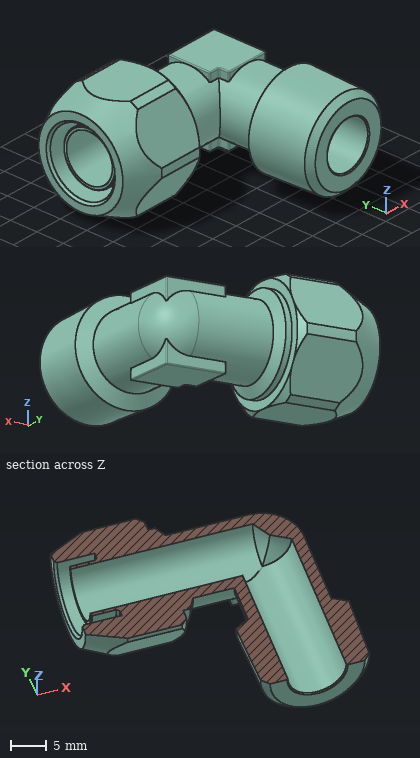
import cadquery as cq
import math

TUBE_LEG = cq.Plane(origin=(0, 0, 0), xDir=(-1, 0, 0), normal=(0, 0, 1))
THREAD_LEG = cq.Plane(origin=(0, 0, 0), xDir=(0, -1, 0), normal=(0, 0, 1))

body_radius = 6.25
bore_radius = 4.35
drill_point_angle = 118

pad_height = 6.5
pad_outer = 4.0
pad_inner = 5.88
pad_notch = 3.97
pad_edge_round = 0.2

thread_leg_length = 24.98
thread_length = 11.4
thread_large_radius = 8.45
thread_taper = 1 / 16
thread_chamfer = 1.1
thread_shoulder = 1.27
thread_mouth_chamfer = 0.2

tube_leg_length = 29.0
nut_length = 14.6
nut_sides = 6
nut_across_flats = 19.0
nut_corner_radius = 10.52
nut_face_radius = 7.98
nut_front_cone = 5.45
nut_back_chamfer = 1.0

collar_radius = 8.0
collar_width = 1.0
collar_cone = 1.0

tube_radius = 6.1
mouth_chamfer = 0.4
floor_depth = 6.0

spigot_depth = 1.87
spigot_radius = 4.95
spigot_tip_chamfer = 0.15
spigot_root_radius = 5.3


def turned(leg, profile):
    """Revolve an outline of (distance along the leg, radius) points about the leg axis."""
    return cq.Workplane(leg).polyline(profile).close().revolve(360, (0, 0, 0), (1, 0, 0))


def elbow_body():
    """Two round legs meeting in a spherical outer corner."""
    nut_back = tube_leg_length - nut_length
    thread_start = thread_leg_length - thread_length
    tube_arm = cq.Workplane(TUBE_LEG.rotated((0, 90, 0))).circle(body_radius).extrude(nut_back)
    thread_arm = cq.Workplane(THREAD_LEG.rotated((0, 90, 0))).circle(body_radius).extrude(thread_start)
    return tube_arm.union(thread_arm).union(cq.Workplane("XY").sphere(body_radius))


def wrench_pads():
    """Notched square block whose top and bottom stand proud of the round legs."""
    block = (
        cq.Workplane("XY", origin=(0, 0, -pad_height))
        .moveTo(pad_outer, pad_outer)
        .lineTo(-pad_inner, pad_outer)
        .lineTo(-pad_inner, -pad_notch)
        .lineTo(-pad_notch, -pad_notch)
        .lineTo(-pad_notch, -pad_inner)
        .lineTo(pad_outer, -pad_inner)
        .close()
        .extrude(2 * pad_height)
    )
    block = block.edges("|Z").fillet(pad_edge_round)
    return block.faces("|Z").edges().fillet(pad_edge_round)


def thread_end():
    """Tapered thread blank with a conical shoulder and a chamfered tip."""
    start = thread_leg_length - thread_length
    chamfer_start = thread_leg_length - thread_chamfer
    small_radius = thread_large_radius - (chamfer_start - start) * thread_taper / 2
    return turned(THREAD_LEG, [
        (start - thread_shoulder, 0),
        (start - thread_shoulder, body_radius),
        (start, thread_large_radius),
        (chamfer_start, small_radius),
        (thread_leg_length, small_radius - thread_chamfer),
        (thread_leg_length, 0),
    ])


def collar():
    """Round collar behind the nut, coned down to the leg."""
    front = tube_leg_length - nut_length
    cone_start = front - collar_width
    return turned(TUBE_LEG, [
        (cone_start - collar_cone, 0),
        (cone_start - collar_cone, body_radius),
        (cone_start, collar_radius),
        (front, collar_radius),
        (front, 0),
    ])


def nut():
    """Hexagon with flats facing up and down, trimmed by a turned envelope."""
    back = tube_leg_length - nut_length
    across_corners = nut_across_flats / math.cos(math.pi / nut_sides)
    hexagon = (
        cq.Workplane("YZ", origin=(-tube_leg_length, 0, 0))
        .polygon(nut_sides, across_corners)
        .extrude(nut_length)
    )
    envelope = turned(TUBE_LEG, [
        (back, 0),
        (back, nut_corner_radius - nut_back_chamfer),
        (back + nut_back_chamfer, nut_corner_radius),
        (tube_leg_length - nut_front_cone, nut_corner_radius),
        (tube_leg_length, nut_face_radius),
        (tube_leg_length, 0),
    ])
    return hexagon.intersect(envelope)


def drill_tip():
    """Length of the conical point left by the drill."""
    return bore_radius / math.tan(math.radians(drill_point_angle / 2))


def thread_bore():
    """Drilled bore of the threaded leg with a small mouth chamfer."""
    return turned(THREAD_LEG, [
        (-drill_tip(), 0),
        (0, bore_radius),
        (thread_leg_length - thread_mouth_chamfer, bore_radius),
        (thread_leg_length, bore_radius + thread_mouth_chamfer),
        (thread_leg_length, 0),
    ])


def tube_bore():
    """Drilled bore of the tube leg and the ring gap that leaves a spigot flared 45 degrees at its root."""
    spigot_tip = tube_leg_length - spigot_depth
    floor = tube_leg_length - floor_depth
    flare = spigot_root_radius - spigot_radius
    return turned(TUBE_LEG, [
        (-drill_tip(), 0),
        (0, bore_radius),
        (spigot_tip, bore_radius),
        (spigot_tip, spigot_radius - spigot_tip_chamfer),
        (spigot_tip - spigot_tip_chamfer, spigot_radius),
        (floor + flare, spigot_radius),
        (floor, spigot_root_radius),
        (floor, tube_radius),
        (tube_leg_length - mouth_chamfer, tube_radius),
        (tube_leg_length, tube_radius + mouth_chamfer),
        (tube_leg_length, 0),
    ])


outside = elbow_body().union(wrench_pads()).union(thread_end()).union(collar()).union(nut())
result = outside.cut(thread_bore()).cut(tube_bore())